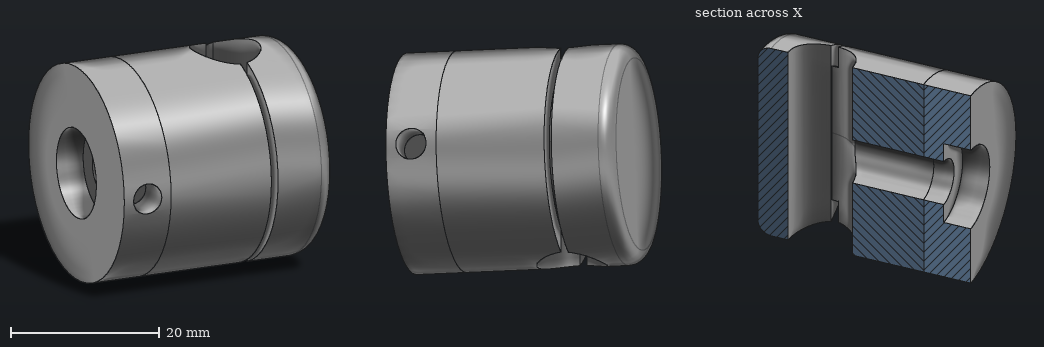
import cadquery as cq

outer_diameter = 30.0

base_length = 7.0
screw_hole_diameter = 6.8
screw_head_diameter = 12.5
screw_head_depth = 4.0
set_screw_hole_diameter = 4.2
set_screw_hole_depth = 5.0

clamp_length = 15.0
boss_diameter = 24.0
clamp_gap = 1.0

cap_length = 8.5
cap_edge_radius = 2.0

rod_hole_radius = 5.5
cap_arc_offset = 1.5

clamp_start = base_length
clamp_shoulder = clamp_start + clamp_length
cap_start = clamp_shoulder + clamp_gap


def disc(diameter, start, length):
    """Round bar along +Y, beginning at y = start."""
    front_plane = cq.Workplane("XZ", origin=(0, start, 0))
    return front_plane.circle(diameter / 2).extrude(-length)


def rod_passage(center_y):
    """Cutter for the rod, running along Z through the whole width."""
    side_plane = cq.Workplane("XY").center(0, center_y)
    return side_plane.circle(rod_hole_radius).extrude(outer_diameter, both=True)


def make_base():
    """Disc with a counterbored centre hole and a blind radial set screw hole on +X."""
    body = disc(outer_diameter, 0, base_length)
    body = body.cut(disc(screw_hole_diameter, 0, base_length))
    body = body.cut(disc(screw_head_diameter, 0, screw_head_depth))
    set_screw_hole = (
        cq.Workplane("YZ", origin=(outer_diameter / 2, 0, 0))
        .center(base_length / 2, 0)
        .circle(set_screw_hole_diameter / 2)
        .extrude(-set_screw_hole_depth)
    )
    return body.cut(set_screw_hole)


def make_clamp_body():
    """Main cylinder and boss, with the front part of the rod passage and the screw hole."""
    body = disc(outer_diameter, clamp_start, clamp_length)
    body = body.union(disc(boss_diameter, clamp_shoulder, clamp_gap))
    body = body.cut(disc(screw_hole_diameter, clamp_start, clamp_length))
    return body.cut(rod_passage(cap_start))


def make_cap():
    """Rounded end cap with the back part of the rod passage."""
    body = disc(outer_diameter, cap_start, cap_length)
    body = body.faces(">Y").edges().fillet(cap_edge_radius)
    return body.cut(rod_passage(cap_start - cap_arc_offset))


base = make_base().solids()
clamp_body = make_clamp_body().solids()
cap = make_cap().solids()

result = cq.Compound.makeCompound([base.val(), clamp_body.val(), cap.val()])